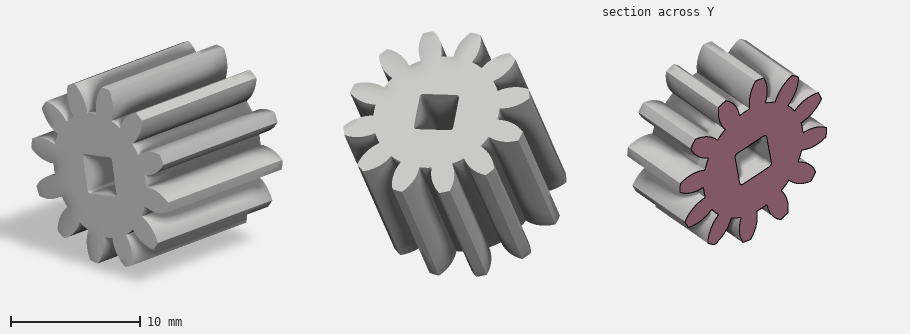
import cadquery as cq
import math

TOOTH_COUNT = 12
INCH = 25.4
DIAMETRAL_PITCH = 24
MODULE = INCH / DIAMETRAL_PITCH
DEDENDUM_FACTOR = 1.25
PITCH_RADIUS = MODULE * TOOTH_COUNT / 2
TIP_RADIUS = PITCH_RADIUS + MODULE
ROOT_RADIUS = PITCH_RADIUS - DEDENDUM_FACTOR * MODULE
FACE_WIDTH = INCH / 2

ROOT_THICKNESS = 1.62
PITCH_THICKNESS = 1.73
TIP_THICKNESS = 0.83

SQUARE_SIDE = INCH / 8
SQUARE_CORNER_RADIUS = 0.25

GEAR_ANGLE = 10.0
TOOTH_PITCH_ANGLE = 360.0 / TOOTH_COUNT
FIRST_TOOTH_ANGLE = GEAR_ANGLE + TOOTH_PITCH_ANGLE / 2


def polar_point(radius, degrees):
    """Point in the XZ plane, measured from +X toward +Z."""
    angle = math.radians(degrees)
    return (radius * math.cos(angle), radius * math.sin(angle))


def half_angle(thickness, radius):
    """Half of the angle a tooth of this thickness covers on a circle."""
    return math.degrees(math.asin(thickness / 2 / radius))


def xz_plane():
    """Sketch plane on the front (-Y) face, extruding toward +Y."""
    return cq.Workplane("XZ", origin=(0, -FACE_WIDTH / 2, 0))


def make_gear_blank():
    """Toothed outline with curved flanks and circular root and tip lands."""
    root_half = half_angle(ROOT_THICKNESS, ROOT_RADIUS)
    pitch_half = half_angle(PITCH_THICKNESS, PITCH_RADIUS)
    tip_half = half_angle(TIP_THICKNESS, TIP_RADIUS)

    start = polar_point(ROOT_RADIUS, FIRST_TOOTH_ANGLE - root_half)
    outline = xz_plane().moveTo(*start)
    for tooth in range(TOOTH_COUNT):
        center = FIRST_TOOTH_ANGLE + tooth * TOOTH_PITCH_ANGLE
        next_center = center + TOOTH_PITCH_ANGLE
        gap_center = center + TOOTH_PITCH_ANGLE / 2
        outline = outline.threePointArc(
            polar_point(PITCH_RADIUS, center - pitch_half),
            polar_point(TIP_RADIUS, center - tip_half),
        )
        outline = outline.threePointArc(
            polar_point(TIP_RADIUS, center),
            polar_point(TIP_RADIUS, center + tip_half),
        )
        outline = outline.threePointArc(
            polar_point(PITCH_RADIUS, center + pitch_half),
            polar_point(ROOT_RADIUS, center + root_half),
        )
        outline = outline.threePointArc(
            polar_point(ROOT_RADIUS, gap_center),
            polar_point(ROOT_RADIUS, next_center - root_half),
        )
    return outline.close().extrude(-FACE_WIDTH)


def make_square_hole():
    """Through cutter for the square hole with rounded corners."""
    return (
        xz_plane()
        .transformed(rotate=(0, 0, GEAR_ANGLE))
        .rect(SQUARE_SIDE, SQUARE_SIDE)
        .extrude(-FACE_WIDTH)
        .edges("|Y")
        .fillet(SQUARE_CORNER_RADIUS)
    )


result = make_gear_blank().cut(make_square_hole())